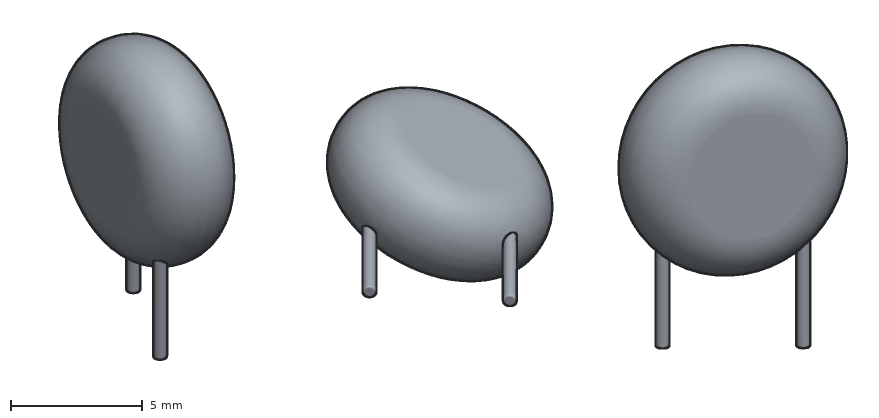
import cadquery as cq

body_diameter = 9.0
body_thickness = 4.0
rim_band_width = 0.11
edge_radius = (body_thickness - rim_band_width) / 2

overall_height = 12.03
lead_diameter = 0.54
lead_pitch_x = 5.0
lead_pitch_y = 1.88
lead_tip_fillet = 0.1
lead_top_z = -body_diameter / 4
lead_bottom_z = body_diameter / 2 - overall_height


def make_body():
    disc = cq.Workplane("XZ").circle(body_diameter / 2).extrude(body_thickness / 2, both=True)
    return disc.faces("<Y or >Y").edges().fillet(edge_radius)


def make_lead(x, y):
    lead = (
        cq.Workplane("XY", origin=(x, y, lead_bottom_z))
        .circle(lead_diameter / 2)
        .extrude(lead_top_z - lead_bottom_z)
    )
    return lead.faces("<Z").edges().fillet(lead_tip_fillet)


result = make_body()
for side in (-1, 1):
    result = result.union(make_lead(side * lead_pitch_x / 2, -side * lead_pitch_y / 2))